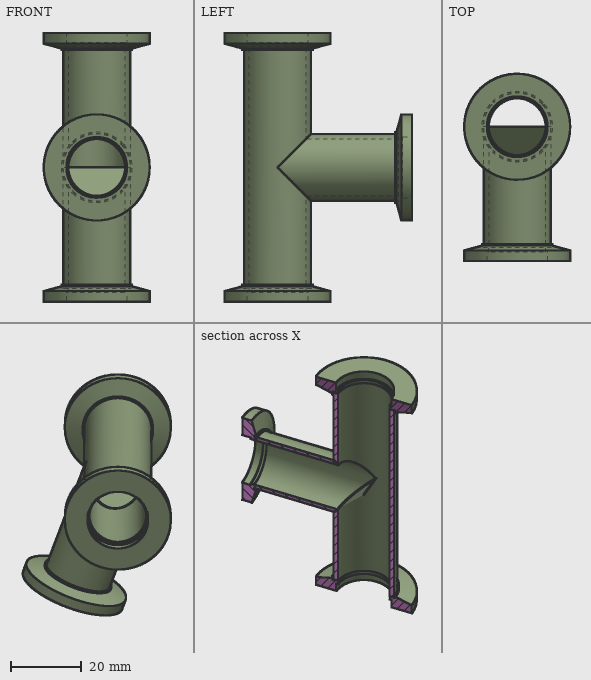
import cadquery as cq

end_distance = 38.0

tube_radius = 19.0 / 2
tube_bore_radius = 16.0 / 2
web_thickness = 0.15

flange_radius = 30.0 / 2
collar_radius = 20.0 / 2
recess_radius = 17.2 / 2
lip_radius = 16.1 / 2
socket_radius = 19.3 / 2
rim_depth = 3.05
cone_depth = 4.4
flange_depth = 4.9
recess_depth = 2.65
lip_depth = 3.8

tube_reach = end_distance - lip_depth


def make_flange():
    """Clamp flange with its outer face on Z = 0 and its socket facing -Z."""
    profile = [
        (recess_radius, 0),
        (flange_radius, 0),
        (flange_radius, -rim_depth),
        (collar_radius, -cone_depth),
        (collar_radius, -flange_depth),
        (socket_radius, -flange_depth),
        (socket_radius, -lip_depth),
        (lip_radius, -lip_depth),
        (lip_radius, -recess_depth),
        (recess_radius, -recess_depth),
    ]
    return cq.Workplane("XZ").polyline(profile).close().revolve(360, (0, 0), (0, 1))


def make_mitre_wedge(lower_offset=0.0):
    """Wedge between two 45 degree planes opening toward -Y; lower_offset moves the lower plane inward."""
    rise = lower_offset * 2 ** 0.5
    outline = [
        (-rise / 2, rise / 2),
        (-end_distance, end_distance),
        (-end_distance, rise - end_distance),
    ]
    return cq.Workplane("YZ").polyline(outline).close().extrude(flange_radius, both=True)


def make_run_tube():
    """Straight tube with a V notch that receives the mitred branch."""
    tube = (
        cq.Workplane("XY")
        .workplane(offset=-tube_reach)
        .circle(tube_radius)
        .circle(tube_bore_radius)
        .extrude(2 * tube_reach)
    )
    return tube.cut(make_mitre_wedge())


def make_branch_tube():
    """Tube with a V-shaped end; its bore stops short of the lower mitre plane to leave the web."""
    body = cq.Workplane("XZ").circle(tube_radius).extrude(tube_reach).intersect(make_mitre_wedge())
    bore = cq.Workplane("XZ").circle(tube_bore_radius).extrude(tube_reach)
    return body.cut(bore.intersect(make_mitre_wedge(web_thickness)))


run_tube = make_run_tube()
branch_tube = make_branch_tube()

flange_angles = [0, 90, 180]
flanges = [
    make_flange().translate((0, 0, end_distance)).rotate((0, 0, 0), (1, 0, 0), angle)
    for angle in flange_angles
]

result = cq.Compound.makeCompound(
    [run_tube.val(), branch_tube.val(), *[flange.val() for flange in flanges]]
)